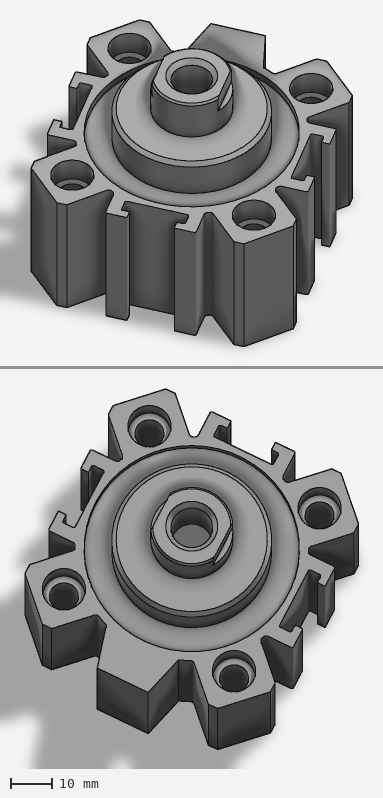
import cadquery as cq
import math

housing_height = 35.0
boss_rise = 8.0
rod_rise = 11.0
boss_top = housing_height + boss_rise
rod_top = boss_top + rod_rise

match_tolerance = 0.01

core_radius = 28.5
lug_limit = 33.5
lug_end_distance = 40.6
lug_width = 17.2
root_radius = 1.0
bolt_offset = 23.2
bolt_diameter = 7.0
counterbore_diameter = 10.5
counterbore_depth = 6.4

dovetail_face_y = 37.5
dovetail_face_half_width = 6.95
dovetail_flare_angle = 15

rail_face = 33.4
rail_half_width = 11.6
slot_mouth_half_width = 6.0
slot_half_width = 8.2
slot_floor = 27.9
slot_lip = 2.1
rail_corner_radius = 0.5
slot_corner_radius = 0.5
slot_mouth_radius = 0.2
rail_angles = (-90, 0, 180)

recess_diameter = 52.5
recess_depth = 2.0
recess_floor = housing_height - recess_depth
boss_diameter = 39.0
boss_chamfer = 1.1

rod_diameter = 20.0
rod_chamfer = 0.5
flat_half_width = 8.45
flat_height = 4.5
rod_bore_diameter = 10.1
rod_bore_depth = 15.0
rod_bore_chamfer = 1.3


def make_lugs():
    """Four diagonal lugs with their outer corners cut square to X and Y."""
    length = 2 * lug_end_distance
    lugs = cq.Workplane("XY")
    for angle in (45, 135):
        bar = cq.Workplane("XY").rect(length, lug_width).extrude(housing_height)
        lugs = lugs.union(bar.rotate((0, 0, 0), (0, 0, 1), angle))
    limits = cq.Workplane("XY").rect(2 * lug_limit, 2 * lug_limit).extrude(housing_height)
    return lugs.intersect(limits)


def is_lug_root(edge):
    """True for an upright edge where the side of a lug meets the core."""
    point = edge.Center()
    on_core = abs(math.hypot(point.x, point.y) - core_radius) < match_tolerance
    on_lug_side = abs(abs(abs(point.x) - abs(point.y)) - lug_width / math.sqrt(2)) < match_tolerance
    return on_core and on_lug_side


def make_dovetail():
    """Block that widens from its outer face to the core."""
    flare = dovetail_face_y * math.tan(math.radians(dovetail_flare_angle))
    base_half_width = dovetail_face_half_width + flare
    outline = [
        (-base_half_width, 0),
        (base_half_width, 0),
        (dovetail_face_half_width, dovetail_face_y),
        (-dovetail_face_half_width, dovetail_face_y),
    ]
    return cq.Workplane("XY").polyline(outline).close().extrude(housing_height)


def make_rail():
    """Solid rail pointing to +X, before its slot is cut."""
    return (
        cq.Workplane("XY")
        .rect(rail_face, 2 * rail_half_width)
        .extrude(housing_height)
        .edges("|Z and >X")
        .fillet(rail_corner_radius)
        .translate((rail_face / 2, 0, 0))
    )


def is_rail_root(edge):
    """True for an upright edge where the side of a rail meets the core."""
    point = edge.Center()
    on_core = abs(math.hypot(point.x, point.y) - core_radius) < match_tolerance
    nearest_axis_offset = min(abs(point.x), abs(point.y))
    return on_core and abs(nearest_axis_offset - rail_half_width) < match_tolerance


def is_mouth_corner(edge):
    """True for an outer upright edge at the mouth of a slot."""
    point = edge.Center()
    offsets = sorted((abs(point.x), abs(point.y)))
    at_mouth = abs(offsets[0] - slot_mouth_half_width) < match_tolerance
    return at_mouth and abs(offsets[1] - rail_face) < match_tolerance


def make_slot():
    """T-shaped slot of a rail pointing to +X."""
    pocket_depth = rail_face - slot_lip - slot_floor
    mouth_depth = rail_face - slot_floor
    pocket = (
        cq.Workplane("XY")
        .rect(pocket_depth, 2 * slot_half_width)
        .extrude(housing_height)
        .edges("|Z")
        .fillet(slot_corner_radius)
        .translate((slot_floor + pocket_depth / 2, 0, 0))
    )
    mouth = (
        cq.Workplane("XY")
        .rect(mouth_depth, 2 * slot_mouth_half_width)
        .extrude(housing_height)
        .translate((slot_floor + mouth_depth / 2, 0, 0))
    )
    return pocket.union(mouth)


def make_boss():
    """Chamfered guide boss standing on the recess floor."""
    return (
        cq.Workplane("XY", origin=(0, 0, recess_floor))
        .circle(boss_diameter / 2)
        .extrude(boss_top - recess_floor)
        .faces(">Z")
        .chamfer(boss_chamfer)
    )


def make_housing():
    core = cq.Workplane("XY").circle(core_radius).extrude(housing_height)
    body = core.union(make_lugs())
    body = body.edges("|Z").filter(is_lug_root).fillet(root_radius)

    for angle in rail_angles:
        body = body.union(make_rail().rotate((0, 0, 0), (0, 0, 1), angle))
        body = body.cut(make_slot().rotate((0, 0, 0), (0, 0, 1), angle))
    body = body.edges("|Z").filter(is_rail_root).fillet(root_radius)
    body = body.edges("|Z").filter(is_mouth_corner).fillet(slot_mouth_radius)
    body = body.union(make_dovetail())

    body = (
        body.faces(">Z")
        .workplane(origin=(0, 0, housing_height))
        .rect(2 * bolt_offset, 2 * bolt_offset, forConstruction=True)
        .vertices()
        .cboreHole(bolt_diameter, counterbore_diameter, counterbore_depth)
    )

    recess = (
        cq.Workplane("XY", origin=(0, 0, recess_floor))
        .circle(recess_diameter / 2)
        .extrude(recess_depth)
    )
    body = body.cut(recess).union(make_boss())

    guide = (
        cq.Workplane("XY", origin=(0, 0, recess_floor))
        .circle(rod_diameter / 2)
        .extrude(boss_top - recess_floor)
    )
    return body.cut(guide)


def make_rod():
    rod = (
        cq.Workplane("XY", origin=(0, 0, recess_floor))
        .circle(rod_diameter / 2)
        .extrude(rod_top - recess_floor)
        .faces(">Z")
        .chamfer(rod_chamfer)
    )

    flat_cut_width = rod_diameter / 2 - flat_half_width
    for side in (-1, 1):
        flat_cut = (
            cq.Workplane("XY", origin=(0, 0, rod_top - flat_height))
            .center(side * (flat_half_width + flat_cut_width / 2), 0)
            .rect(flat_cut_width, rod_diameter)
            .extrude(flat_height)
        )
        rod = rod.cut(flat_cut)

    bore_radius = rod_bore_diameter / 2
    bore = (
        cq.Workplane("XZ")
        .moveTo(0, rod_top)
        .lineTo(bore_radius + rod_bore_chamfer, rod_top)
        .lineTo(bore_radius, rod_top - rod_bore_chamfer)
        .lineTo(bore_radius, rod_top - rod_bore_depth)
        .lineTo(0, rod_top - rod_bore_depth)
        .close()
        .revolve()
    )
    return rod.cut(bore)


housing = make_housing()
piston_rod = make_rod()

result = cq.Compound.makeCompound([housing.val(), piston_rod.val()])